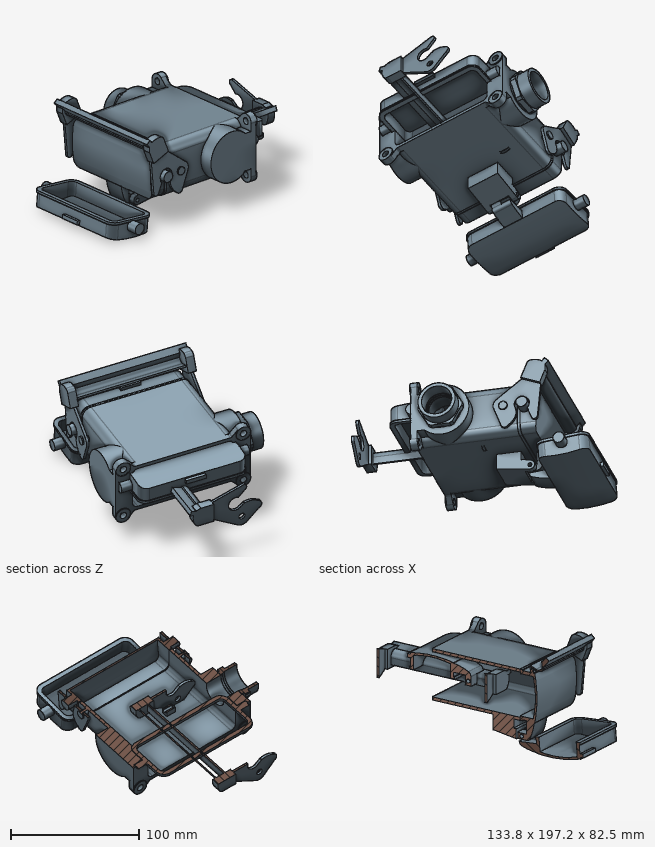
import cadquery as cq
import math


BODY_WIDTH = 93.1
BODY_HEIGHT = 43.0
BODY_CORNER = 7.3
BODY_WALL = 3.0
FRONT_Y = -57.5
FLANGE_FRONT_Y = 20.3
FLANGE_BACK_Y = 25.5
EAR_BACK_Y = 26.5
SIDE_X = 58.5
BOSS_HEIGHT = 31.8
EAR_RADIUS = 6.3
EAR_HOLE_X = SIDE_X - EAR_RADIUS
EAR_HOLE_Z = 22.7
EAR_HOLE_DIAMETER = 5.5
EAR_SLOPE_ANGLE = 45.0
EAR_ROOT_FILLET = 2.0
PORT_DIAMETER = 21.7

STUD_Y = -47.4
STUD_DIAMETER = 5.0
STUD_HEAD_DIAMETER = 7.0
STUD_HEAD_THICKNESS = 1.2
STUD_HOLE_DIAMETER = 5.1

HINGE_Y = -58.6
HINGE_Z = -34.1
HINGE_RADIUS = 4.0
EAR_PIN_HOLE_DIAMETER = 3.2
BRACKET_WIDTH = 28.0
BRACKET_BACK_Y = -31.5
BRACKET_FRONT_Y = -51.5
BRACKET_BOTTOM_Z = -34.3
BRACKET_STEP_Z = -28.6
FORK_START_Y = -53.7
FORK_LEAN_ANGLE = 10.0

GLAND_TUBE_DIAMETER = 30.0
GLAND_NECK_DIAMETER = 31.0
GLAND_NECK_LENGTH = 1.5
NUT_ACROSS_FLATS = 32.0
NUT_CORNER_DIAMETER = 35.3
NUT_LENGTH = 5.0
NUT_TURN = 30.0
GLAND_LENGTH = 16.8
GLAND_BORES = ((24.3, 12.6), (23.5, 14.6), (22.5, GLAND_LENGTH))

RIM_LENGTH = 93.7
RIM_BREADTH = 42.8
RIM_CORNER = 7.5
RIM_THICKNESS = 2.2
CAP_LENGTH = 92.0
CAP_BREADTH = 41.2
CAP_CORNER = 6.7
CAP_EDGE_DEPTH = 13.8
CAP_MIDDLE_DEPTH = 16.0
CAP_INNER_LENGTH = 87.0
CAP_INNER_BREADTH = 34.7
CAP_INNER_CORNER = 4.5
CAP_FLOOR = 2.0
COVER_PIN_DIAMETER = 9.0
COVER_PIN_DEPTH = 5.7
COVER_PIN_TIP_X = 55.5
TAB_WIDTH = 17.4
TAB_RANGE = (-TAB_WIDTH / 2, TAB_WIDTH / 2)
TAB_TIP = 23.3
TAB_DEPTHS = (9.3, 12.6)
JOIN_OVERLAP = 1.0
ARM_TIP = -36.9
ARM_INNER_DEPTH = 5.5
ARM_ROOT_DEPTH = 13.6
HINGE_DEPTH = FRONT_Y - HINGE_Y
KNUCKLE_START = -31.4
KNUCKLE_DEPTH = -2.5
KNUCKLE_HOLE_DIAMETER = 3.0
OPEN_ANGLE = 84.9

LEVER_LENGTH = 109.3
PLATE_OUTER = 51.9
PLATE_THICKNESS = 2.2
BLOCK_INNER = 47.5
BLOCK_HALF = 8.3
PIVOT_U = -25.7
PIVOT_W = -14.0
NOTCH_U = -20.1
NOTCH_MOUTH_U = -22.5
NOTCH_RADIUS = 6.1
LEVER_TILT = 22.2
BAR_OUTER_RADIUS = 6.0
BAR_INNER_RADIUS = 4.3
BAR_ARC_CENTRE = 10.7
BAR_BACK_W = -6.0

REAR_Y = 25.8

ALONG_X = (1, 0, 0)
FORWARD = (0, -1, 0)


def box(x_range, y_range, z_range):
    """Box between the given limits."""
    size = [high - low for low, high in (x_range, y_range, z_range)]
    corner = (x_range[0], y_range[0], z_range[0])
    return cq.Workplane("XY").box(*size, centered=False).translate(corner)


def rounded_plate(plane, length, breadth, corner, thickness):
    """Rectangular plate with round corners, extruded along the plane's normal."""
    plate = cq.Workplane(plane).rect(length, breadth).extrude(thickness)
    return plate.edges(cq.selectors.ParallelDirSelector(plate.plane.zDir)).fillet(corner)


def x_cylinder(diameter, x_start, x_end, y=0.0, z=0.0):
    """Cylinder along X."""
    disc = cq.Workplane("YZ", origin=(x_start, 0, 0)).center(y, z).circle(diameter / 2)
    return disc.extrude(x_end - x_start)


def cover_block(length, breadth, corner, edge_depth, middle_depth):
    """Block with round corners whose back is curved across its breadth."""
    half = breadth / 2
    side = (
        cq.Workplane("YZ")
        .moveTo(-half, 0)
        .lineTo(-half, edge_depth)
        .threePointArc((0, middle_depth), (half, edge_depth))
        .lineTo(half, 0)
        .close()
        .extrude(length / 2, both=True)
    )
    return side.intersect(rounded_plate("XY", length, breadth, corner, middle_depth))


def hinge_arm():
    """Curved arm from the cover's edge to below the hinge axis."""
    root = -CAP_BREADTH / 2 + JOIN_OVERLAP
    tip = (ARM_TIP, ARM_INNER_DEPTH)
    return (
        cq.Workplane("YZ")
        .moveTo(root, ARM_INNER_DEPTH)
        .lineTo(root, ARM_ROOT_DEPTH)
        .threePointArc((-28.6, 11.6), (-34.5, 9.3))
        .threePointArc((-36.3, 7.7), tip)
        .close()
        .extrude(TAB_WIDTH / 2, both=True)
    )


def make_cover(place, knuckle_x):
    """Cover at a location; knuckle_x is the X range of its hinge knuckle."""
    cover = cover_block(CAP_LENGTH, CAP_BREADTH, CAP_CORNER, CAP_EDGE_DEPTH, CAP_MIDDLE_DEPTH)
    cover = cover.union(rounded_plate("XY", RIM_LENGTH, RIM_BREADTH, RIM_CORNER, RIM_THICKNESS))
    cover = cover.union(
        x_cylinder(COVER_PIN_DIAMETER, -COVER_PIN_TIP_X, COVER_PIN_TIP_X, 0, COVER_PIN_DEPTH)
    )
    cover = cover.union(box(TAB_RANGE, (CAP_BREADTH / 2 - JOIN_OVERLAP, TAB_TIP), TAB_DEPTHS))
    cover = cover.union(hinge_arm())
    knuckle = box(knuckle_x, (ARM_TIP, KNUCKLE_START), (KNUCKLE_DEPTH, ARM_INNER_DEPTH))
    cover = cover.union(knuckle)
    cover = cover.cut(x_cylinder(KNUCKLE_HOLE_DIAMETER, *TAB_RANGE, HINGE_Z, HINGE_DEPTH))
    hollow = cover_block(
        CAP_INNER_LENGTH,
        CAP_INNER_BREADTH,
        CAP_INNER_CORNER,
        CAP_EDGE_DEPTH - CAP_FLOOR,
        CAP_MIDDLE_DEPTH - CAP_FLOOR,
    )
    return cq.Workplane(cover.cut(hollow).val().moved(place))


def lever_plate():
    """Side plate with a pivot hole and a hook notch for a cover pin."""
    mouth_w = math.sqrt(NOTCH_RADIUS**2 - (NOTCH_MOUTH_U - NOTCH_U) ** 2)
    return (
        cq.Workplane("XY")
        .moveTo(0, -BLOCK_HALF)
        .lineTo(-21.5, -21.1)
        .threePointArc((-26.0, -22.3), (-29.8, -20.7))
        .lineTo(-40.6, -10.5)
        .threePointArc((-42.8, -7.7), (-39.9, -3.5))
        .threePointArc((-34.3, -1.2), (-27.6, -1.8))
        .lineTo(NOTCH_MOUTH_U, -mouth_w)
        .threePointArc((NOTCH_U + NOTCH_RADIUS, 0), (NOTCH_MOUTH_U, mouth_w))
        .lineTo(-28.8, 11.8)
        .threePointArc((-29.8, 14.2), (-26.8, 16.4))
        .lineTo(0, BLOCK_HALF)
        .close()
        .moveTo(PIVOT_U, PIVOT_W)
        .circle(STUD_HOLE_DIAMETER / 2)
        .extrude(PLATE_THICKNESS)
    )


def lever_block():
    """Moulded end block of the handle."""
    return (
        cq.Workplane("XY")
        .moveTo(0, -BLOCK_HALF)
        .lineTo(12.8, -BLOCK_HALF)
        .threePointArc((14.8, -7.7), (16.4, -6.0))
        .threePointArc((17.8, -2.0), (17.5, 4.0))
        .lineTo(15.4, 7.0)
        .lineTo(11.2, BLOCK_HALF)
        .lineTo(0, BLOCK_HALF)
        .close()
        .extrude(LEVER_LENGTH / 2 - BLOCK_INNER)
    )


def lever_crossbar():
    """Curved grip strip with a sloping lip, running the length of the handle."""
    outer_u = BAR_ARC_CENTRE - BAR_OUTER_RADIUS
    inner_u = BAR_ARC_CENTRE - BAR_INNER_RADIUS
    outer_diagonal = BAR_OUTER_RADIUS * math.sqrt(0.5)
    inner_diagonal = BAR_INNER_RADIUS * math.sqrt(0.5)
    return (
        cq.Workplane("XY", origin=(0, 0, -LEVER_LENGTH / 2))
        .moveTo(outer_u, BAR_BACK_W)
        .lineTo(outer_u, 0)
        .threePointArc(
            (BAR_ARC_CENTRE - outer_diagonal, outer_diagonal), (BAR_ARC_CENTRE, BAR_OUTER_RADIUS)
        )
        .lineTo(11.6, 5.3)
        .lineTo(19.3, 7.9)
        .lineTo(20.7, 4.0)
        .lineTo(14.8, 1.8)
        .lineTo(BAR_ARC_CENTRE, BAR_INNER_RADIUS)
        .threePointArc((BAR_ARC_CENTRE - inner_diagonal, inner_diagonal), (inner_u, 0))
        .lineTo(inner_u, BAR_BACK_W)
        .close()
        .extrude(LEVER_LENGTH)
    )


def make_lever(place):
    """Lever at a location: two side plates with end blocks, joined by the crossbar."""
    plate = lever_plate().translate((0, 0, PLATE_OUTER - PLATE_THICKNESS))
    end = plate.union(lever_block().translate((0, 0, BLOCK_INNER)))
    lever = lever_crossbar().union(end).union(end.mirror("XY"))
    return cq.Workplane(lever.val().moved(place))


def flange_quarter():
    """Quarter of the flange on the +X, +Z side with its rounded fixing ear, without the ear's hole."""
    slope = math.radians(EAR_SLOPE_ANGLE)
    ear_top_z = EAR_HOLE_Z + EAR_RADIUS
    tangent_x = EAR_HOLE_X - EAR_RADIUS * math.sin(slope)
    tangent_z = EAR_HOLE_Z + EAR_RADIUS * math.cos(slope)
    root_x = tangent_x - (tangent_z - BODY_HEIGHT / 2) / math.tan(slope)
    diagonal = EAR_RADIUS * math.sqrt(0.5)
    plate = (
        cq.Workplane("XZ", origin=(0, FLANGE_BACK_Y, 0))
        .lineTo(SIDE_X, 0)
        .lineTo(SIDE_X, EAR_HOLE_Z)
        .threePointArc((EAR_HOLE_X + diagonal, EAR_HOLE_Z + diagonal), (EAR_HOLE_X, ear_top_z))
        .threePointArc(
            (
                EAR_HOLE_X - EAR_RADIUS * math.sin(slope / 2),
                EAR_HOLE_Z + EAR_RADIUS * math.cos(slope / 2),
            ),
            (tangent_x, tangent_z),
        )
        .lineTo(root_x, BODY_HEIGHT / 2)
        .lineTo(0, BODY_HEIGHT / 2)
        .close()
        .extrude(FLANGE_BACK_Y - FLANGE_FRONT_Y)
    )
    root_edge = cq.selectors.NearestToPointSelector(
        (root_x, (FLANGE_FRONT_Y + FLANGE_BACK_Y) / 2, BODY_HEIGHT / 2)
    )
    plate = plate.edges("|Y").edges(root_edge).fillet(EAR_ROOT_FILLET)
    pad = (
        cq.Workplane("XZ", origin=(EAR_HOLE_X, EAR_BACK_Y, EAR_HOLE_Z))
        .circle(EAR_RADIUS)
        .extrude(EAR_BACK_Y - FLANGE_FRONT_Y)
    )
    return plate.union(pad)


def hinge_bracket():
    """Bracket under the housing that ends in a fork for the cover hinges."""
    top_z = -BODY_HEIGHT / 2 + BODY_WALL / 2
    lean = math.radians(FORK_LEAN_ANGLE)
    lean_y = HINGE_RADIUS * math.sin(lean)
    lean_z = HINGE_RADIUS * math.cos(lean)
    block = (
        cq.Workplane("YZ")
        .moveTo(BRACKET_BACK_Y, top_z)
        .lineTo(BRACKET_BACK_Y, BRACKET_BOTTOM_Z)
        .lineTo(HINGE_Y + lean_y, HINGE_Z - lean_z)
        .threePointArc((HINGE_Y - HINGE_RADIUS, HINGE_Z), (HINGE_Y - lean_y, HINGE_Z + lean_z))
        .lineTo(BRACKET_FRONT_Y, BRACKET_STEP_Z)
        .lineTo(BRACKET_FRONT_Y, top_z)
        .close()
        .extrude(BRACKET_WIDTH / 2, both=True)
    )
    fork_gap = box(
        TAB_RANGE,
        (HINGE_Y - 2 * HINGE_RADIUS, FORK_START_Y),
        (HINGE_Z - 2 * HINGE_RADIUS, top_z),
    )
    pin_hole = x_cylinder(EAR_PIN_HOLE_DIAMETER, -BRACKET_WIDTH, BRACKET_WIDTH, HINGE_Y, HINGE_Z)
    return block.cut(fork_gap).cut(pin_hole)


def make_housing():
    """Hollow rectangular body with side bosses, flange, pivot studs and hinge bracket."""
    body_length = FLANGE_BACK_Y - FRONT_Y
    back = cq.Plane(origin=(0, FLANGE_BACK_Y, 0), xDir=ALONG_X, normal=FORWARD)
    housing = rounded_plate(back, BODY_WIDTH, BODY_HEIGHT, BODY_CORNER, body_length)

    side_range = (-SIDE_X, SIDE_X)
    housing = housing.union(x_cylinder(BODY_HEIGHT, *side_range))
    boss_z_range = (-BOSS_HEIGHT / 2, BOSS_HEIGHT / 2)
    housing = housing.union(box(side_range, (0, FLANGE_BACK_Y), boss_z_range))
    quarter = flange_quarter()
    upper_half = quarter.union(quarter.mirror("YZ"))
    housing = housing.union(upper_half).union(upper_half.mirror("XY"))

    cavity = rounded_plate(
        back,
        BODY_WIDTH - 2 * BODY_WALL,
        BODY_HEIGHT - 2 * BODY_WALL,
        BODY_CORNER - BODY_WALL,
        body_length,
    )
    housing = housing.cut(cavity)
    housing = housing.cut(x_cylinder(PORT_DIAMETER, -SIDE_X, 0))
    ear_holes = (
        cq.Workplane("XZ", origin=(0, EAR_BACK_Y, 0))
        .rect(2 * EAR_HOLE_X, 2 * EAR_HOLE_Z, forConstruction=True)
        .vertices()
        .circle(EAR_HOLE_DIAMETER / 2)
        .extrude(EAR_BACK_Y - FLANGE_FRONT_Y)
    )
    housing = housing.cut(ear_holes)

    wall_middle_x = (BODY_WIDTH - BODY_WALL) / 2
    head_end_x = PLATE_OUTER + STUD_HEAD_THICKNESS
    stud = x_cylinder(STUD_DIAMETER, wall_middle_x, PLATE_OUTER, STUD_Y)
    stud = stud.union(x_cylinder(STUD_HEAD_DIAMETER, PLATE_OUTER, head_end_x, STUD_Y))
    housing = housing.union(stud).union(stud.mirror("YZ"))
    return housing.union(hinge_bracket())


def make_gland():
    """Gland on the -X boss: neck, hexagonal nut with rounded corners, and open tube."""
    nut_end_x = -SIDE_X - GLAND_NECK_LENGTH
    nut_start_x = nut_end_x - NUT_LENGTH
    tip_x = -SIDE_X - GLAND_LENGTH
    gland = x_cylinder(GLAND_TUBE_DIAMETER, tip_x, nut_end_x)
    gland = gland.union(x_cylinder(GLAND_NECK_DIAMETER, nut_end_x, -SIDE_X))
    hexagon = (
        cq.Workplane("YZ", origin=(nut_start_x, 0, 0))
        .polygon(6, NUT_ACROSS_FLATS, circumscribed=True)
        .extrude(NUT_LENGTH)
    )
    hexagon = hexagon.rotate((0, 0, 0), ALONG_X, NUT_TURN)
    gland = gland.union(hexagon.intersect(x_cylinder(NUT_CORNER_DIAMETER, nut_start_x, nut_end_x)))
    for diameter, depth in GLAND_BORES:
        gland = gland.cut(x_cylinder(diameter, tip_x, tip_x + depth))
    return gland


closed_place = cq.Location(cq.Plane(origin=(0, FRONT_Y, 0), xDir=ALONG_X, normal=FORWARD))
hinge_start = cq.Vector(0, HINGE_Y, HINGE_Z)
hinge_end = cq.Vector(2, HINGE_Y, HINGE_Z)
rear_cover_place = cq.Location(cq.Vector(0, REAR_Y, 0))

tilt = math.radians(LEVER_TILT)
handle_axis = cq.Vector(0, -math.sin(tilt), math.cos(tilt))
across_axis = cq.Vector(0, -math.cos(tilt), -math.sin(tilt))
front_lever_origin = cq.Vector(0, STUD_Y, 0) - handle_axis * PIVOT_U - across_axis * PIVOT_W
front_lever_place = cq.Location(cq.Plane(origin=front_lever_origin, xDir=handle_axis, normal=ALONG_X))
rear_lever_place = cq.Location(cq.Plane(origin=(0, REAR_Y, 0), xDir=ALONG_X, normal=FORWARD))

half_tab = TAB_WIDTH / 2
front_lever = make_lever(front_lever_place)
rear_lever = make_lever(rear_lever_place)
closed_cover = make_cover(closed_place, (-half_tab, 0))
open_cover = make_cover(closed_place, (0, half_tab)).rotate(hinge_start, hinge_end, OPEN_ANGLE)
rear_cover = make_cover(rear_cover_place, (-half_tab, 0)).cut(rear_lever)
housing = make_housing().cut(rear_cover).cut(rear_lever)
gland = make_gland()

result = cq.Compound.makeCompound(
    [
        housing.val(),
        gland.val(),
        front_lever.val(),
        rear_lever.val(),
        closed_cover.val(),
        open_cover.val(),
        rear_cover.val(),
    ]
)